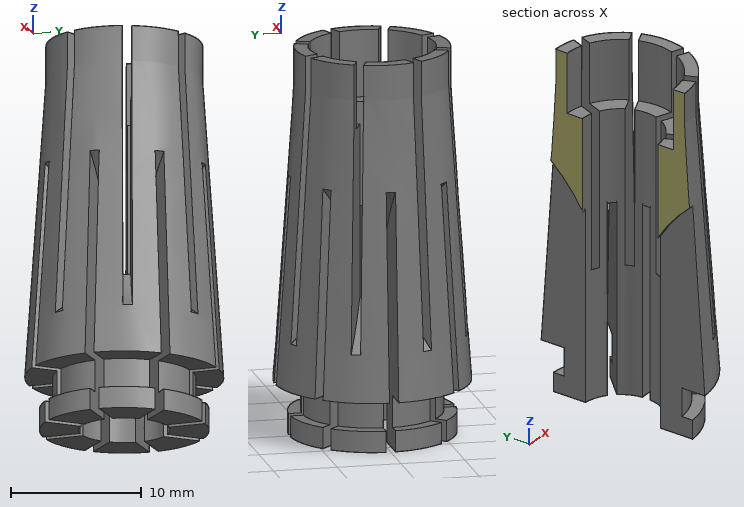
import cadquery as cq
import math

TOTAL_HEIGHT = 30.5
BORE_RADIUS = 3.5

FLANGE_RADIUS = 6.5
FLANGE_TOP = 1.68
NECK_RADIUS = 5.5
CONE_BASE_RADIUS = 7.62
CONE_BASE = 4.18
NOSE_RADIUS = 6.0
NOSE_HEIGHT = 2.8
NOSE_BASE = TOTAL_HEIGHT - NOSE_HEIGHT

COUNTERBORE_RADIUS = 4.9
COUNTERBORE_DEPTH = 5.3

SLOTS_PER_END = 8
SLOT_PITCH = 360 / SLOTS_PER_END
SLOT_WIDTH = 0.73
SAW_RADIUS = 15.0
LOWER_SLOT_END = 20.55
LOWER_SAW_OFFSET = 16.4
UPPER_SLOT_END = 7.93
UPPER_SAW_OFFSET = 15.35


def cone_radius(z):
    """Radius of the tapered outside at height z."""
    taper = (CONE_BASE_RADIUS - NOSE_RADIUS) / (NOSE_BASE - CONE_BASE)
    return CONE_BASE_RADIUS - taper * (z - CONE_BASE)


def make_body():
    """Turned blank with its bore and counterbore."""
    counterbore_floor = TOTAL_HEIGHT - COUNTERBORE_DEPTH
    half_section = [
        (BORE_RADIUS, 0),
        (FLANGE_RADIUS, 0),
        (FLANGE_RADIUS, FLANGE_TOP),
        (NECK_RADIUS, FLANGE_TOP),
        (NECK_RADIUS, CONE_BASE),
        (CONE_BASE_RADIUS, CONE_BASE),
        (NOSE_RADIUS, NOSE_BASE),
        (NOSE_RADIUS, TOTAL_HEIGHT),
        (COUNTERBORE_RADIUS, TOTAL_HEIGHT),
        (COUNTERBORE_RADIUS, counterbore_floor),
        (BORE_RADIUS, counterbore_floor),
    ]
    return cq.Workplane("XZ").polyline(half_section).close().revolve(360, (0, 0), (0, 1))


def make_slot(end_height, open_height, saw_offset, angle):
    """Slot from the open end to end_height on the cone, its closed end an arc of the saw.

    saw_offset is the distance of the saw centre from the collet axis.
    """
    reach = saw_offset - cone_radius(end_height)
    rise = math.sqrt(SAW_RADIUS**2 - reach**2)
    direction = math.copysign(1, end_height - open_height)
    centre_height = end_height - direction * rise
    inner = saw_offset - SAW_RADIUS
    diagonal = SAW_RADIUS * math.sqrt(0.5)
    slot = (
        cq.Workplane("XZ")
        .moveTo(inner, open_height)
        .lineTo(inner, centre_height)
        .threePointArc(
            (saw_offset - diagonal, centre_height + direction * diagonal),
            (saw_offset, centre_height + direction * SAW_RADIUS),
        )
        .lineTo(saw_offset, open_height)
        .close()
        .extrude(SLOT_WIDTH / 2, both=True)
    )
    return slot.rotate((0, 0, 0), (0, 0, 1), angle)


result = make_body()
for index in range(SLOTS_PER_END):
    lower_slot = make_slot(LOWER_SLOT_END, 0, LOWER_SAW_OFFSET, index * SLOT_PITCH)
    upper_slot = make_slot(UPPER_SLOT_END, TOTAL_HEIGHT, UPPER_SAW_OFFSET, (index + 0.5) * SLOT_PITCH)
    result = result.cut(lower_slot).cut(upper_slot)